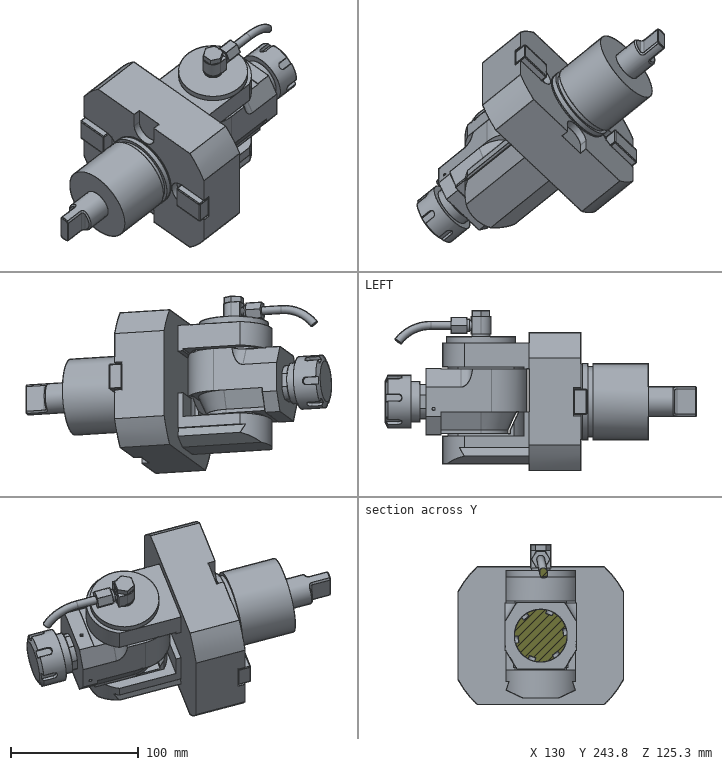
import cadquery as cq
import math


TOTAL_LENGTH = 243.8
TOTAL_HEIGHT = 125.3

PLATE_WIDTH = 130.0
PLATE_HEIGHT = 108.0
PLATE_THICK = 40.5
PLATE_CORNER_RADIUS = 73.4
SLOT_WIDTH_VERTICAL = 21.2
SLOT_WIDTH_SIDE = 22.2
SLOT_DEPTH = 5.9
SLOT_INNER_REACH = 30.2

KEY_LENGTH = 25.4
KEY_HEIGHT = 20.0
KEY_PROTRUSION = 4.6
KEY_CHAMFER = 0.7
KEY_INSET = 0.2

NECK_DIA = 59.0
FLANGE_DIA = 60.0
GROOVE_DIA = 55.0
SHANK_DIA = 59.7
SHAFT_DIA = 23.6
NECK_END = -1.2
FLANGE_END = -5.4
GROOVE_END = -9.3
SHANK_END = -53.0
TANG_START = -73.4
SHAFT_END = -90.5
SHAFT_CHAMFER = 0.7
TANG_WIDTH = 8.3
TANG_ROOT_RADIUS = 2.0
TANG_EDGE_CHAMFER = 1.2

PIVOT_Y = 78.3
YOKE_WIDTH = 54.0
YOKE_END_RADIUS = 30.0
YOKE_WEB_END = 44.5
UPPER_ARM_TOP = 46.0
UPPER_ARM_BOTTOM = 27.3
LOWER_ARM_TOP = -27.0
LOWER_ARM_LEDGE = -35.8
LOWER_ARM_CHAMFER = -42.7
LOWER_ARM_BOTTOM = -48.8
LOWER_ARM_LEDGE_STEP = 2.2
LOWER_ARM_FOOT_WIDTH = 28.3
DISK_DIA = 54.0
DISK_TOP = 51.0
HUB_DIA = 59.5
HUB_WIDTH = 40.0
HUB_CLEARANCE = 1.7

HEAD_WIDTH = 55.5
HEAD_HEIGHT = 52.2
HEAD_TOP_FLAT = 37.5
HEAD_SIDE_FLAT = 23.0
HEAD_FRONT = 121.5
HEAD_COVER_BACK = 109.5
HEAD_BACK_CENTER = 70.0
HEAD_SIDE_BOTTOM = -8.0
HEAD_CONE_BOTTOM = -22.2
HEAD_BOTTOM = -25.0
HEAD_TOP = 25.5
HEAD_FOOT_WIDTH = 42.5
CHAMFER_RUNOUT_END = 84.5
CHAMFER_RUNOUT_RADIUS = 9.3
PIN_HOLE_DIA = 2.5
PIN_HOLE_DEPTH = 2.5
PIN_HOLE_Y = 115.3
PIN_HOLE_OFFSET = -5.5

NOSE_DIA = 29.0
NOSE_ACROSS_FLATS = 27.0
COLLAR_DIA = 32.0
COLLAR_BACK = 126.0
NUT_DIA = 41.5
NUT_FACE_DIA = 32.0
NUT_BACK = 132.9
NUT_END = TOTAL_LENGTH + SHAFT_END
NUT_CHAMFER_LENGTH = 2.2
NUT_SLOT_COUNT = 6
NUT_SLOT_FIRST_ANGLE = 39
NUT_SLOT_WIDTH = 5.9
NUT_SLOT_DEPTH = 3.0
NUT_SLOT_END = 140.2

ELBOW_DIA = 15.8
ELBOW_FOOT_DIA = 14.5
ELBOW_FOOT_TOP = 53.1
ELBOW_BODY_TOP = 66.5
ELBOW_TOP = TOTAL_HEIGHT - PLATE_HEIGHT / 2
ELBOW_FRONT = 85.3
HOSE_Z = 59.7
HOSE_STUB_DIA = 8.3
HOSE_COLLAR_DIA = 9.8
HOSE_COLLAR_BACK = 87.0
HOSE_NUT_BACK = 89.2
HOSE_NUT_FRONT = 101.7
HOSE_NUT_DIA = 14.5
HOSE_DIA = 6.3
HOSE_BEND_START = 117.5
HOSE_BEND_LENGTH = 25.5
HOSE_BEND_DROP = 13.0
HOSE_TILT = 12


def y_cylinder(diameter, y_start, y_end, z=0):
    """Cylinder along Y between two Y positions."""
    plane = cq.Plane((0, y_start, z), xDir=(1, 0, 0), normal=(0, 1, 0))
    return cq.Workplane(plane).circle(diameter / 2).extrude(y_end - y_start)


def z_cylinder(diameter, z_start, z_end, y=PIVOT_Y):
    """Cylinder along Z between two Z positions."""
    return cq.Workplane("XY", origin=(0, y, z_start)).circle(diameter / 2).extrude(z_end - z_start)


def span_box(width, y_start, y_end, z_start, z_end):
    """Box centred on X, given by its Y and Z limits."""
    box = cq.Workplane("XY").box(width, y_end - y_start, z_end - z_start, centered=(True, False, False))
    return box.translate((0, y_start, z_start))


def y_prism(points, y_start, y_end):
    """Extrude an (x, z) outline along Y."""
    outline = cq.Workplane("XZ", origin=(0, y_start, 0)).polyline(points).close()
    return outline.extrude(y_start - y_end)


def plate_slot(angle, width):
    """Round-ended slot in the mounting face, running outward at the given angle."""
    center = SLOT_INNER_REACH + width / 2
    end = cq.Workplane("XZ").center(center, 0).circle(width / 2).extrude(-SLOT_DEPTH)
    run = cq.Workplane("XZ").center(center + PLATE_WIDTH / 2, 0).rect(PLATE_WIDTH, width)
    run = run.extrude(-SLOT_DEPTH)
    return end.union(run).rotate((0, 0, 0), (0, 1, 0), angle)


def base_plate():
    block = span_box(PLATE_WIDTH, 0, PLATE_THICK, -PLATE_HEIGHT / 2, PLATE_HEIGHT / 2)
    plate = block.intersect(y_cylinder(2 * PLATE_CORNER_RADIUS, 0, PLATE_THICK))
    for angle in (0, 180):
        plate = plate.cut(plate_slot(angle, SLOT_WIDTH_SIDE))
    for angle in (90, 270):
        plate = plate.cut(plate_slot(angle, SLOT_WIDTH_VERTICAL))
    return plate


def drive_key(side):
    key = span_box(KEY_LENGTH, -KEY_PROTRUSION, SLOT_DEPTH, -KEY_HEIGHT / 2, KEY_HEIGHT / 2)
    key = key.edges().chamfer(KEY_CHAMFER)
    return key.translate((side * ((PLATE_WIDTH - KEY_LENGTH) / 2 - KEY_INSET), 0, 0))


def shank():
    body = y_cylinder(NECK_DIA, NECK_END, 0)
    body = body.union(y_cylinder(FLANGE_DIA, FLANGE_END, NECK_END))
    body = body.union(y_cylinder(GROOVE_DIA, GROOVE_END, FLANGE_END))
    return body.union(y_cylinder(SHANK_DIA, SHANK_END, GROOVE_END))


def drive_shaft():
    shaft = y_cylinder(SHAFT_DIA, SHAFT_END, SHANK_END)
    for side in (-1, 1):
        clearance = span_box(SHAFT_DIA, SHAFT_END - 2.5, TANG_START, -SHAFT_DIA, SHAFT_DIA)
        inner_edge = "<X" if side > 0 else ">X"
        clearance = clearance.faces(">Y").edges(inner_edge).fillet(TANG_ROOT_RADIUS)
        shaft = shaft.cut(clearance.translate((side * (TANG_WIDTH + SHAFT_DIA) / 2, 0, 0)))
    shaft = shaft.edges("|Y").edges(">Z or <Z").chamfer(TANG_EDGE_CHAMFER)
    return shaft.faces("<Y").chamfer(SHAFT_CHAMFER)


def yoke():
    half = YOKE_WIDTH / 2
    y_tip = PIVOT_Y + YOKE_END_RADIUS
    upper_arm = span_box(YOKE_WIDTH, PLATE_THICK, y_tip, UPPER_ARM_BOTTOM, UPPER_ARM_TOP)
    right_side = [
        (half, LOWER_ARM_TOP),
        (half, LOWER_ARM_LEDGE),
        (half - LOWER_ARM_LEDGE_STEP, LOWER_ARM_LEDGE),
        (half, LOWER_ARM_CHAMFER),
        (LOWER_ARM_FOOT_WIDTH / 2, LOWER_ARM_BOTTOM),
    ]
    left_side = [(-x, z) for x, z in reversed(right_side)]
    lower_arm = y_prism(right_side + left_side, PLATE_THICK, y_tip)

    end_limit = z_cylinder(2 * YOKE_END_RADIUS, LOWER_ARM_BOTTOM, UPPER_ARM_TOP)
    end_limit = end_limit.union(span_box(YOKE_WIDTH, PLATE_THICK, PIVOT_Y, LOWER_ARM_BOTTOM, UPPER_ARM_TOP))
    arms = upper_arm.union(lower_arm).intersect(end_limit)

    upper_web = span_box(YOKE_WIDTH, PLATE_THICK, YOKE_WEB_END, HEAD_TOP, UPPER_ARM_BOTTOM)
    lower_web = span_box(YOKE_WIDTH, PLATE_THICK, YOKE_WEB_END, LOWER_ARM_TOP, HEAD_SIDE_BOTTOM)
    disk = z_cylinder(DISK_DIA, UPPER_ARM_TOP, DISK_TOP)
    return arms.union(upper_web).union(lower_web).union(disk)


def hub_block(z_start, z_end):
    """Flat-sided drum that fills the space between a yoke arm and the head."""
    drum = z_cylinder(HUB_DIA, z_start, z_end, YOKE_WEB_END + HUB_DIA / 2)
    return drum.intersect(span_box(HUB_WIDTH, YOKE_WEB_END, YOKE_WEB_END + HUB_DIA, z_start, z_end))


def hub():
    upper = hub_block(HEAD_TOP, UPPER_ARM_BOTTOM)
    lower = hub_block(LOWER_ARM_TOP, HEAD_SIDE_BOTTOM)
    back = [(PIVOT_Y - HUB_CLEARANCE - x, z) for x, z in tapered_profile()]
    front = [(HEAD_COVER_BACK, HEAD_BOTTOM), (HEAD_COVER_BACK, HEAD_SIDE_BOTTOM)]
    opening = cq.Workplane("YZ").polyline(back + front).close().extrude(HUB_WIDTH, both=True)
    return upper.union(lower.cut(opening))


def tapered_profile():
    """Half section (x, z) of the tapered lower part of the head."""
    return [
        (HEAD_WIDTH / 2, HEAD_SIDE_BOTTOM),
        (HEAD_FOOT_WIDTH / 2, HEAD_CONE_BOTTOM),
        (HEAD_FOOT_WIDTH / 2, HEAD_BOTTOM),
    ]


def tapered_back():
    """Tapered section turned about the pivot axis."""
    outline = [(0, HEAD_SIDE_BOTTOM)] + tapered_profile() + [(0, HEAD_BOTTOM)]
    cone = cq.Workplane("XZ").polyline(outline).close().revolve(360, (0, 0, 0), (0, 1, 0))
    return cone.translate((0, PIVOT_Y, 0))


def octagon():
    half_w = HEAD_WIDTH / 2
    half_h = HEAD_HEIGHT / 2
    flat_x = HEAD_TOP_FLAT / 2
    flat_z = HEAD_SIDE_FLAT / 2
    return [
        (half_w, -flat_z),
        (half_w, flat_z),
        (flat_x, half_h),
        (-flat_x, half_h),
        (-half_w, flat_z),
        (-half_w, -flat_z),
        (-flat_x, -half_h),
        (flat_x, -half_h),
    ]


def chamfer_cutter():
    """Cutter for the upper +X edge of the head, with a round runout at its back."""
    run = (HEAD_WIDTH - HEAD_TOP_FLAT) / 2
    rise = (HEAD_HEIGHT - HEAD_SIDE_FLAT) / 2
    middle = ((HEAD_WIDTH - run) / 2, 0, (HEAD_HEIGHT - rise) / 2)
    length = HEAD_FRONT - CHAMFER_RUNOUT_END
    block = cq.Workplane("XY").box(HEAD_HEIGHT, length, HEAD_WIDTH / 2, centered=(True, False, False))
    block = block.faces("<Z").edges("<Y").fillet(CHAMFER_RUNOUT_RADIUS)
    tilt = math.degrees(math.atan2(rise, run))
    block = block.rotate((0, 0, 0), (0, 1, 0), tilt)
    return block.translate((middle[0], CHAMFER_RUNOUT_END, middle[2]))


def spindle_head():
    cover = y_prism(octagon(), HEAD_COVER_BACK, HEAD_FRONT)

    upper = span_box(HEAD_WIDTH, HEAD_BACK_CENTER, HEAD_COVER_BACK, HEAD_SIDE_BOTTOM, HEAD_TOP)
    upper = upper.union(z_cylinder(HEAD_WIDTH, HEAD_SIDE_BOTTOM, HEAD_TOP, HEAD_BACK_CENTER))
    cutter = chamfer_cutter()
    upper = upper.cut(cutter).cut(cutter.mirror("YZ"))

    right_side = tapered_profile()
    left_side = [(-x, z) for x, z in reversed(right_side)]
    lower = y_prism(right_side + left_side, PIVOT_Y, HEAD_COVER_BACK)

    head = cover.union(upper).union(lower).union(tapered_back())

    top_hole = cq.Workplane("XY", origin=(PIN_HOLE_OFFSET, PIN_HOLE_Y, HEAD_HEIGHT / 2))
    top_hole = top_hole.circle(PIN_HOLE_DIA / 2).extrude(-PIN_HOLE_DEPTH)
    side_hole = cq.Workplane("YZ", origin=(-HEAD_WIDTH / 2, PIN_HOLE_Y, PIN_HOLE_OFFSET))
    side_hole = side_hole.circle(PIN_HOLE_DIA / 2).extrude(PIN_HOLE_DEPTH)
    return head.cut(top_hole).cut(side_hole)


def spindle_nose():
    half_flats = NOSE_ACROSS_FLATS / 2
    nose = y_cylinder(NOSE_DIA, HEAD_FRONT, COLLAR_BACK)
    nose = nose.intersect(span_box(NOSE_ACROSS_FLATS, HEAD_FRONT, COLLAR_BACK, -half_flats, half_flats))
    return nose.union(y_cylinder(COLLAR_DIA, COLLAR_BACK, NUT_BACK))


def nut_slot(angle):
    """Round-ended wrench slot, cut inward from the rim of the collet nut."""
    floor_z = NUT_DIA / 2 - NUT_SLOT_DEPTH
    radius = NUT_SLOT_WIDTH / 2
    center_y = NUT_SLOT_END + radius
    slot = z_cylinder(NUT_SLOT_WIDTH, floor_z, NUT_DIA, center_y)
    slot = slot.union(span_box(NUT_SLOT_WIDTH, center_y, NUT_END, floor_z, NUT_DIA))
    return slot.rotate((0, 0, 0), (0, 1, 0), angle)


def collet_nut():
    profile = [
        (0, NUT_BACK),
        (NUT_DIA / 2, NUT_BACK),
        (NUT_DIA / 2, NUT_END - NUT_CHAMFER_LENGTH),
        (NUT_FACE_DIA / 2, NUT_END),
        (0, NUT_END),
    ]
    nut = cq.Workplane("XY").polyline(profile).close().revolve(360, (0, 0, 0), (0, 1, 0))
    for index in range(NUT_SLOT_COUNT):
        nut = nut.cut(nut_slot(NUT_SLOT_FIRST_ANGLE + index * 360 / NUT_SLOT_COUNT))
    return nut


def coolant_elbow():
    elbow = z_cylinder(ELBOW_FOOT_DIA, DISK_TOP, ELBOW_FOOT_TOP)
    elbow = elbow.union(z_cylinder(ELBOW_DIA, ELBOW_FOOT_TOP, ELBOW_BODY_TOP))
    elbow = elbow.union(span_box(ELBOW_DIA, PIVOT_Y, ELBOW_FRONT, ELBOW_FOOT_TOP, ELBOW_BODY_TOP))
    cap = cq.Workplane("XY", origin=(0, PIVOT_Y, ELBOW_BODY_TOP)).polygon(6, ELBOW_DIA)
    return elbow.union(cap.extrude(ELBOW_TOP - ELBOW_BODY_TOP))


def coolant_hose():
    fitting = y_cylinder(HOSE_STUB_DIA, ELBOW_FRONT, HOSE_COLLAR_BACK, HOSE_Z)
    fitting = fitting.union(y_cylinder(HOSE_COLLAR_DIA, HOSE_COLLAR_BACK, HOSE_NUT_BACK, HOSE_Z))
    nut = cq.Workplane("XZ", origin=(0, HOSE_NUT_BACK, HOSE_Z)).polygon(6, HOSE_NUT_DIA)
    fitting = fitting.union(nut.extrude(HOSE_NUT_BACK - HOSE_NUT_FRONT))

    tilt = math.radians(HOSE_TILT)
    bend_normal = (math.cos(tilt), 0, -math.sin(tilt))
    bend_plane = cq.Plane((0, HOSE_NUT_FRONT, HOSE_Z), xDir=(0, 1, 0), normal=bend_normal)
    path = cq.Workplane(bend_plane).lineTo(HOSE_BEND_START - HOSE_NUT_FRONT, 0)
    path = path.tangentArcPoint((HOSE_BEND_LENGTH, -HOSE_BEND_DROP))
    section = cq.Workplane("XZ", origin=(0, HOSE_NUT_FRONT, HOSE_Z)).circle(HOSE_DIA / 2)
    return fitting.union(section.sweep(path))


result = base_plate()
for feature in (
    drive_key(-1),
    drive_key(1),
    shank(),
    drive_shaft(),
    yoke(),
    hub(),
    spindle_head(),
    spindle_nose(),
    collet_nut(),
    coolant_elbow(),
    coolant_hose(),
):
    result = result.union(feature)